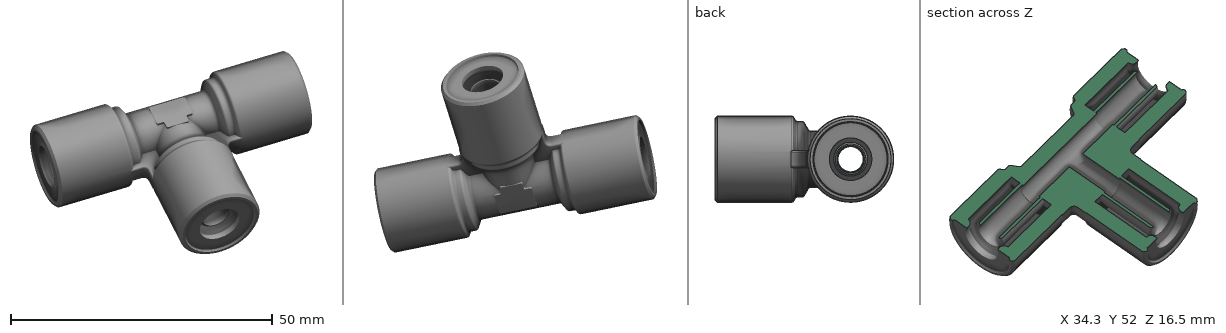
import cadquery as cq
import math

ARM_LENGTH = 26.0
NECK_RADIUS = 5.4
COLLAR_RADIUS = 7.25
BODY_RADIUS = 16.5 / 2
COLLAR_CONE_START = 7.97
BODY_CONE_START = 10.46
CONE_ANGLE = 60.0
SHOULDER_FILLET = 0.5
END_CHAMFER = 0.5

RIM_INNER_RADIUS = 7.2
CAP_RADIUS = 14.0 / 2
CAP_RECESS = 0.4

MOUTH_RADIUS = 8.15 / 2
MOUTH_LENGTH = 0.7
MOUTH_BACK_FILLET = 1.1
SOCKET_DEPTH = 15.0
SUPPORT_TIP_DEPTH = 2.25
SUPPORT_OUTER_RADIUS = 6.5 / 2
SUPPORT_TIP_RADIUS = 5.85 / 2
SUPPORT_INNER_RADIUS = 5.3 / 2
FLOW_RADIUS = 4.85 / 2

PAD_HALF_HEIGHT = 5.5
PAD_LEFT = -2.25
PAD_SHOULDER = 2.15
PAD_RIGHT = 3.7
PAD_HALF_WIDTH = 3.7
PAD_TONGUE_HALF_WIDTH = 2.25
PAD_FILLET = 0.3

WEB_HALF_THICKNESS = 1.65
WEB_OFFSET = 8.27
WEB_REACH = 11.46
WEB_CORNER_FILLET = 1.0
WEB_EDGE_FILLET = 0.35


def cone_length(inner_radius, outer_radius):
    """Axial length of a shoulder cone between two radii."""
    return (outer_radius - inner_radius) / math.tan(math.radians(CONE_ANGLE))


def revolve_about_z(points):
    return cq.Workplane("XZ").polyline(points).close().revolve(360, (0, 0, 0), (0, 1, 0))


def arm_outside():
    """One sleeve along +Z, with rounded shoulders and a recessed end cap."""
    collar_start = COLLAR_CONE_START + cone_length(NECK_RADIUS, COLLAR_RADIUS)
    body_start = BODY_CONE_START + cone_length(COLLAR_RADIUS, BODY_RADIUS)
    cap_face = ARM_LENGTH - CAP_RECESS
    sleeve = revolve_about_z([
        (0, 0),
        (NECK_RADIUS, 0),
        (NECK_RADIUS, COLLAR_CONE_START),
        (COLLAR_RADIUS, collar_start),
        (COLLAR_RADIUS, BODY_CONE_START),
        (BODY_RADIUS, body_start),
        (BODY_RADIUS, ARM_LENGTH - END_CHAMFER),
        (BODY_RADIUS - END_CHAMFER, ARM_LENGTH),
        (RIM_INNER_RADIUS, ARM_LENGTH),
        (CAP_RADIUS, cap_face),
        (0, cap_face),
    ])
    shoulder_edges = sleeve.edges("%CIRCLE").edges(cq.selectors.BoxSelector(
        (-BODY_RADIUS, -BODY_RADIUS, COLLAR_CONE_START - SHOULDER_FILLET),
        (BODY_RADIUS, BODY_RADIUS, body_start + SHOULDER_FILLET),
    ))
    return shoulder_edges.fillet(SHOULDER_FILLET)


def arm_bore():
    """Tube socket and flow passage along +Z, leaving the support sleeve standing."""
    cap_face = ARM_LENGTH - CAP_RECESS
    socket_floor = ARM_LENGTH - SOCKET_DEPTH
    socket_radius = MOUTH_RADIUS + MOUTH_BACK_FILLET
    mouth_back = cap_face - MOUTH_LENGTH
    tip = cap_face - SUPPORT_TIP_DEPTH
    tip_chamfer = SUPPORT_OUTER_RADIUS - SUPPORT_TIP_RADIUS
    diagonal = MOUTH_BACK_FILLET * math.sin(math.radians(45))
    return (
        cq.Workplane("XZ")
        .moveTo(0, 0)
        .lineTo(FLOW_RADIUS, 0)
        .lineTo(FLOW_RADIUS, socket_floor)
        .lineTo(SUPPORT_INNER_RADIUS, socket_floor)
        .lineTo(SUPPORT_INNER_RADIUS, tip)
        .lineTo(SUPPORT_TIP_RADIUS, tip)
        .lineTo(SUPPORT_OUTER_RADIUS, tip - tip_chamfer)
        .lineTo(SUPPORT_OUTER_RADIUS, socket_floor)
        .lineTo(socket_radius, socket_floor)
        .lineTo(socket_radius, mouth_back - MOUTH_BACK_FILLET)
        .threePointArc(
            (socket_radius - diagonal, mouth_back - diagonal),
            (MOUTH_RADIUS, mouth_back),
        )
        .lineTo(MOUTH_RADIUS, ARM_LENGTH)
        .lineTo(0, ARM_LENGTH)
        .close()
        .revolve(360, (0, 0, 0), (0, 1, 0))
    )


def on_three_arms(shape):
    """Union of a +Z shape turned onto the -Y, +Y and +X directions."""
    front = shape.rotate((0, 0, 0), (1, 0, 0), 90)
    back = shape.rotate((0, 0, 0), (1, 0, 0), -90)
    branch = shape.rotate((0, 0, 0), (0, 1, 0), 90)
    return front.union(back).union(branch)


def marking_pad():
    """Stepped plate through the crossing, showing above and below."""
    return (
        cq.Workplane("XY")
        .moveTo(PAD_LEFT, -PAD_HALF_WIDTH)
        .lineTo(PAD_SHOULDER, -PAD_HALF_WIDTH)
        .lineTo(PAD_SHOULDER, -PAD_TONGUE_HALF_WIDTH)
        .lineTo(PAD_RIGHT, -PAD_TONGUE_HALF_WIDTH)
        .lineTo(PAD_RIGHT, PAD_TONGUE_HALF_WIDTH)
        .lineTo(PAD_SHOULDER, PAD_TONGUE_HALF_WIDTH)
        .lineTo(PAD_SHOULDER, PAD_HALF_WIDTH)
        .lineTo(PAD_LEFT, PAD_HALF_WIDTH)
        .close()
        .extrude(PAD_HALF_HEIGHT, both=True)
        .edges("|Z")
        .fillet(PAD_FILLET)
    )


def plate_rectangle(length_x, length_y, centre_x):
    """Rectangular plate lying on the XY plane with half its thickness on each side."""
    outline = cq.Workplane("XY").center(centre_x, 0).rect(length_x, length_y)
    return outline.extrude(WEB_HALF_THICKNESS, both=True)


def corner_webs():
    """T-shaped plate that fills both inner corners between the run and the branch."""
    run_plate = plate_rectangle(WEB_OFFSET, 2 * WEB_REACH, WEB_OFFSET / 2)
    branch_plate = plate_rectangle(WEB_REACH, 2 * WEB_OFFSET, WEB_REACH / 2)
    plate = run_plate.union(branch_plate)
    for side in (-1, 1):
        corner = cq.selectors.NearestToPointSelector((WEB_OFFSET, side * WEB_OFFSET, 0))
        plate = plate.edges("|Z").edges(corner).fillet(WEB_CORNER_FILLET)
    return plate.faces("<Z or >Z").edges().fillet(WEB_EDGE_FILLET)


outside = on_three_arms(arm_outside()).union(corner_webs()).union(marking_pad())
result = outside.cut(on_three_arms(arm_bore()))